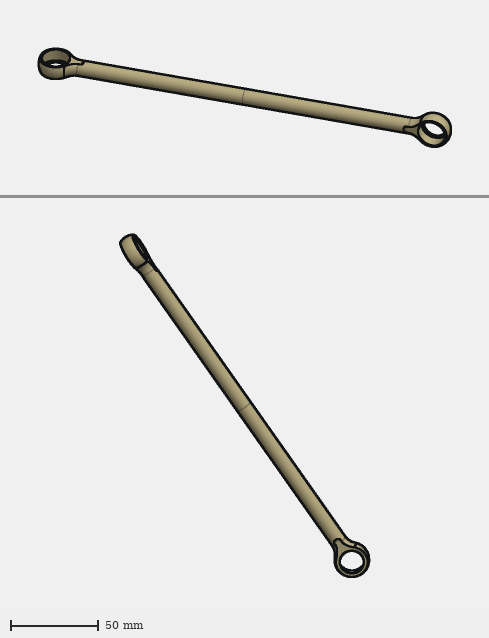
import cadquery as cq
import math

length = 245.0
rod_radius = 4.7

ring_radius = 10.0
ring_rim_radius = 9.0
ring_thickness = 8.3
bore_radius = 8.0
lip_bore_radius = 6.9
lip_thickness = 0.7

neck_start = 23.8
flat_end = 27.5
flat_corner_radius = 2.2

half_thickness = ring_thickness / 2
ring_center = -length / 2 + ring_radius
neck_start_x = -length / 2 + neck_start

neck_run = neck_start - ring_radius
neck_flare_radius = (neck_run**2 + rod_radius**2 - ring_radius**2) / (2 * (ring_radius - rod_radius))
flare_angle = math.asin(neck_run / (ring_radius + neck_flare_radius))


def make_ring():
    """Barrel ring with its axis along Z."""
    return (
        cq.Workplane("XZ")
        .moveTo(0, -half_thickness)
        .lineTo(ring_rim_radius, -half_thickness)
        .threePointArc((ring_radius, 0), (ring_rim_radius, half_thickness))
        .lineTo(0, half_thickness)
        .close()
        .revolve(360, (0, 0, 0), (0, 1, 0))
        .translate((ring_center, 0, 0))
    )


def make_neck():
    """Round flare about X, from the middle of the rod to the ring."""

    def flare_point(angle):
        x = neck_start_x - neck_flare_radius * math.sin(angle)
        radius = rod_radius + neck_flare_radius * (1 - math.cos(angle))
        return x, radius

    flare_tip = flare_point(flare_angle)
    return (
        cq.Workplane("XY")
        .moveTo(0, 0)
        .lineTo(0, rod_radius)
        .lineTo(neck_start_x, rod_radius)
        .threePointArc(flare_point(flare_angle / 2), flare_tip)
        .lineTo(flare_tip[0], 0)
        .close()
        .revolve(360, (0, 0, 0), (1, 0, 0))
    )


def make_flat_cutter():
    """Block removing the neck above the ring's top face, with a rounded inner corner."""
    return (
        cq.Workplane("XY")
        .box(flat_end, 2 * ring_radius, ring_radius, centered=(False, True, False))
        .edges(">X and <Z")
        .fillet(flat_corner_radius)
        .translate((-length / 2, 0, half_thickness))
    )


def make_bore():
    """Stepped bore that leaves a lip at the lower face."""
    bottom = cq.Workplane("XY", origin=(ring_center, 0, -half_thickness))
    lip_bore = bottom.circle(lip_bore_radius).extrude(ring_thickness)
    main_bore = (
        bottom.workplane(offset=lip_thickness)
        .circle(bore_radius)
        .extrude(ring_thickness - lip_thickness)
    )
    return lip_bore.union(main_bore)


def make_half():
    """Left half of the rod, with its ring facing up."""
    top_cutter = make_flat_cutter()
    neck = make_neck().cut(top_cutter).cut(top_cutter.mirror("XY"))
    return neck.union(make_ring()).cut(make_bore())


left_half = make_half()
right_half = (
    left_half.rotate((0, 0, 0), (0, 0, 1), 180)
    .rotate((0, 0, 0), (1, 0, 0), 90)
)
result = left_half.union(right_half)